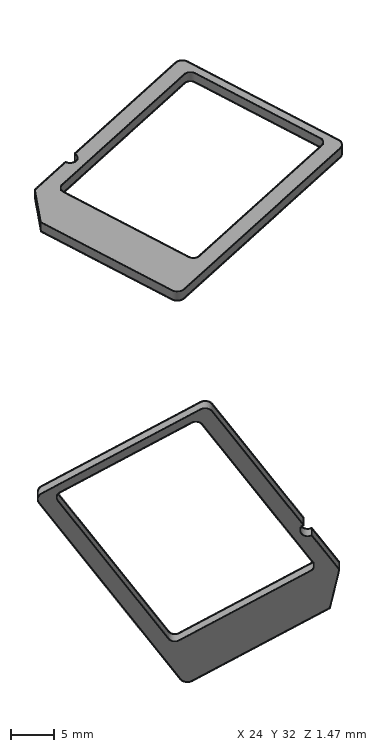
import cadquery as cq

width = 24.0
length = 32.0
thickness = 1.47
corner_radius = 1.0

cut_corner_x = 3.9
cut_corner_y = 4.0

side_rail = 2.0
back_rail = 1.05
front_rail = 5.7
window_radius = 0.85

notch_radius = 0.85
notch_y = 10.75


def card_blank():
    """Plate with one cut corner and three rounded corners; front left at the origin."""
    blank = (
        cq.Workplane("XY")
        .moveTo(cut_corner_x, 0)
        .lineTo(width, 0)
        .lineTo(width, length)
        .lineTo(0, length)
        .lineTo(0, cut_corner_y)
        .close()
        .extrude(thickness)
    )
    back_corners = blank.edges("|Z and >Y")
    right_front_corner = blank.edges("|Z and >X").edges("<Y")
    return blank.newObject(back_corners.vals() + right_front_corner.vals()).fillet(corner_radius)


def window():
    """Rounded rectangular opening bounded by the rails."""
    window_width = width - 2 * side_rail
    window_length = length - front_rail - back_rail
    return (
        cq.Workplane("XY")
        .center(width / 2, front_rail + window_length / 2)
        .rect(window_width, window_length)
        .extrude(thickness)
        .edges("|Z")
        .fillet(window_radius)
    )


def edge_notch():
    """Round cutter centred on the left edge."""
    return cq.Workplane("XY").center(0, notch_y).circle(notch_radius).extrude(thickness)


result = card_blank().cut(window()).cut(edge_notch())